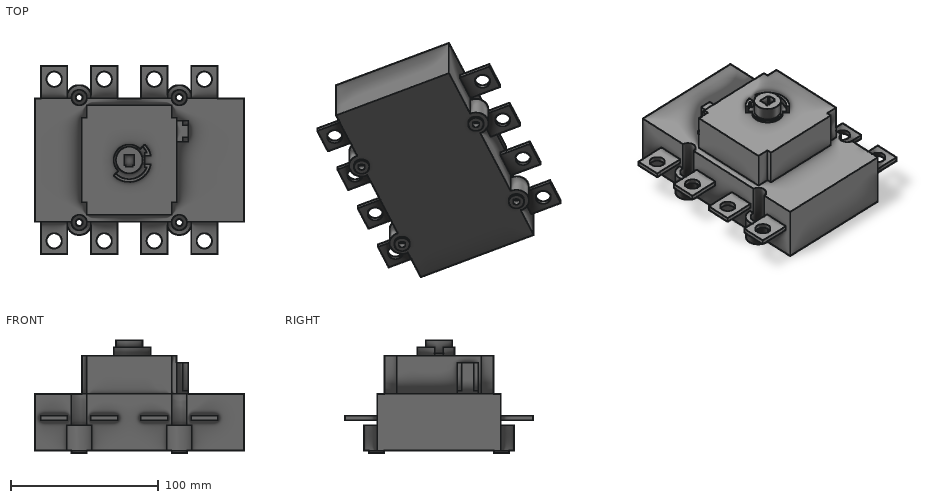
import cadquery as cq
import math


BODY_LENGTH = 142.4
BODY_WIDTH = 84.0
BODY_LEFT = -64.2
FOOT_HEIGHT = 1.7
BODY_TOP = 40.3

TAB_COUNT = 4
TAB_PITCH = 34.0
TAB_WIDTH = 18.1
TAB_SPAN = 128.0
TAB_BOTTOM = 22.2
TAB_THICKNESS = 3.3
TAB_HOLE_DIAMETER = 10.3
TAB_HOLE_SPACING = 110.0

MOUNT_SPACING_X = 2 * TAB_PITCH
MOUNT_SPACING_Y = 85.0
BOSS_DIAMETER = 17.1
BOSS_TOP = 19.1
FOOT_DIAMETER = 10.5
COUNTERBORE_DIAMETER = 10.5
COUNTERBORE_FLOOR = 5.1
SCREW_HOLE_DIAMETER = 4.5

HOUSING_LENGTH = 64.5
HOUSING_WIDTH = 74.3
HOUSING_NOTCH_X = 3.4
HOUSING_NOTCH_Y = 8.5
HOUSING_TOP = 66.2

LATCH_REACH = 8.0
LATCH_WIDTH = 14.4
LATCH_CENTER_Y = 19.5
LATCH_TOP = 61.5
LATCH_NOTCH_X = 4.0
LATCH_NOTCH_Y = 3.1
LATCH_NOTCH_BOTTOM = 42.5

KNOB_DIAMETER = 18.1
KNOB_TOP = 76.9
SOCKET_SIDE = 7.0
SOCKET_DEPTH = 7.1
SOCKET_KEY_WIDTH = 4.5
SOCKET_KEY_DEPTH = 1.0
COLLAR_RADIUS = 10.5
COLLAR_TOP = 67.8
RIM_INNER_RADIUS = 13.0
RIM_OUTER_RADIUS = 15.0
RIM_TOP = 72.0
RIM_START_ANGLE = -135.0
RIM_END_ANGLE = 45.0
RIM_GAP_WIDTH = 5.8
RIM_GAP_WALL = 2.1


def block(x_range, y_range, z_range):
    """Box between the given limits along each axis."""
    size = [high - low for low, high in (x_range, y_range, z_range)]
    corner = (x_range[0], y_range[0], z_range[0])
    return cq.Workplane("XY").box(*size, centered=False).translate(corner)


def centered_block(length, width, z_range):
    """Box centred on the switch axis."""
    return block((-length / 2, length / 2), (-width / 2, width / 2), z_range)


def cylinders(points, diameter, z_range):
    """Vertical cylinders at the given points."""
    plane = cq.Workplane("XY", origin=(0, 0, z_range[0]))
    return plane.pushPoints(points).circle(diameter / 2).extrude(z_range[1] - z_range[0])


def polar(radius, angle):
    """Point at a radius and an angle in degrees."""
    return (radius * math.cos(math.radians(angle)), radius * math.sin(math.radians(angle)))


def sector(radius, z_range):
    """Pie slice over the angular range of the stop rim."""
    middle_angle = (RIM_START_ANGLE + RIM_END_ANGLE) / 2
    return (
        cq.Workplane("XY", origin=(0, 0, z_range[0]))
        .lineTo(*polar(radius, RIM_START_ANGLE))
        .threePointArc(polar(radius, middle_angle), polar(radius, RIM_END_ANGLE))
        .close()
        .extrude(z_range[1] - z_range[0])
    )


def make_body():
    body_x = (BODY_LEFT, BODY_LEFT + BODY_LENGTH)
    return block(body_x, (-BODY_WIDTH / 2, BODY_WIDTH / 2), (FOOT_HEIGHT, BODY_TOP))


def add_tabs(part):
    """Flat bars crossing the body, drilled at both ends."""
    tab_z = (TAB_BOTTOM, TAB_BOTTOM + TAB_THICKNESS)
    for index in range(TAB_COUNT):
        tab_x = (index - (TAB_COUNT - 1) / 2) * TAB_PITCH
        hole_points = [(tab_x, side * TAB_HOLE_SPACING / 2) for side in (-1, 1)]
        tab = centered_block(TAB_WIDTH, TAB_SPAN, tab_z).translate((tab_x, 0, 0))
        part = part.union(tab.cut(cylinders(hole_points, TAB_HOLE_DIAMETER, tab_z)))
    return part


def add_mounts(part):
    """Bosses with feet, counterbored for screws from above."""
    points = [
        (side_x * MOUNT_SPACING_X / 2, side_y * MOUNT_SPACING_Y / 2)
        for side_x in (-1, 1)
        for side_y in (-1, 1)
    ]
    part = part.union(cylinders(points, BOSS_DIAMETER, (FOOT_HEIGHT, BOSS_TOP)))
    part = part.union(cylinders(points, FOOT_DIAMETER, (0, BOSS_TOP)))
    part = part.cut(cylinders(points, COUNTERBORE_DIAMETER, (COUNTERBORE_FLOOR, BODY_TOP)))
    return part.cut(cylinders(points, SCREW_HOLE_DIAMETER, (0, BODY_TOP)))


def make_housing():
    """Two crossed blocks leave a notch at each corner."""
    housing_z = (BODY_TOP, HOUSING_TOP)
    long_block = centered_block(HOUSING_LENGTH, HOUSING_WIDTH - 2 * HOUSING_NOTCH_Y, housing_z)
    wide_block = centered_block(HOUSING_LENGTH - 2 * HOUSING_NOTCH_X, HOUSING_WIDTH, housing_z)
    return long_block.union(wide_block)


def make_latch():
    """Side block whose two outer corners are notched above a thin ledge."""
    inner_x = HOUSING_LENGTH / 2
    outer_x = inner_x + LATCH_REACH
    low_y = LATCH_CENTER_Y - LATCH_WIDTH / 2
    high_y = LATCH_CENTER_Y + LATCH_WIDTH / 2
    latch = block((inner_x, outer_x), (low_y, high_y), (BODY_TOP, LATCH_TOP))
    for notch_y in ((low_y, low_y + LATCH_NOTCH_Y), (high_y - LATCH_NOTCH_Y, high_y)):
        latch = latch.cut(
            block((outer_x - LATCH_NOTCH_X, outer_x), notch_y, (LATCH_NOTCH_BOTTOM, LATCH_TOP))
        )
    return latch


def make_stop_rim():
    """Half-round tray with a raised outer rim and a walled gap facing +X."""
    rim = sector(RIM_OUTER_RADIUS, (HOUSING_TOP, RIM_TOP))
    tray = sector(RIM_INNER_RADIUS, (COLLAR_TOP, RIM_TOP))
    gap_walls = block(
        (COLLAR_RADIUS, RIM_INNER_RADIUS),
        (-RIM_GAP_WIDTH / 2 - RIM_GAP_WALL, RIM_GAP_WIDTH / 2 + RIM_GAP_WALL),
        (COLLAR_TOP, RIM_TOP),
    )
    gap = block(
        (0, RIM_OUTER_RADIUS),
        (-RIM_GAP_WIDTH / 2, RIM_GAP_WIDTH / 2),
        (HOUSING_TOP, RIM_TOP),
    )
    return rim.cut(tray.cut(gap_walls)).cut(gap)


def make_knob():
    """Round knob on a collar, with a keyed square socket in its top."""
    axis = [(0, 0)]
    socket_z = (KNOB_TOP - SOCKET_DEPTH, KNOB_TOP)
    socket = centered_block(SOCKET_SIDE, SOCKET_SIDE, socket_z)
    key = block(
        (-SOCKET_KEY_WIDTH / 2, SOCKET_KEY_WIDTH / 2),
        (-SOCKET_SIDE / 2 - SOCKET_KEY_DEPTH, 0),
        socket_z,
    )
    collar = cylinders(axis, 2 * COLLAR_RADIUS, (HOUSING_TOP, COLLAR_TOP))
    knob = collar.union(cylinders(axis, KNOB_DIAMETER, (HOUSING_TOP, KNOB_TOP)))
    return knob.union(make_stop_rim()).cut(socket).cut(key)


result = add_mounts(add_tabs(make_body()))
for component in (make_housing(), make_latch(), make_knob()):
    result = result.union(component)